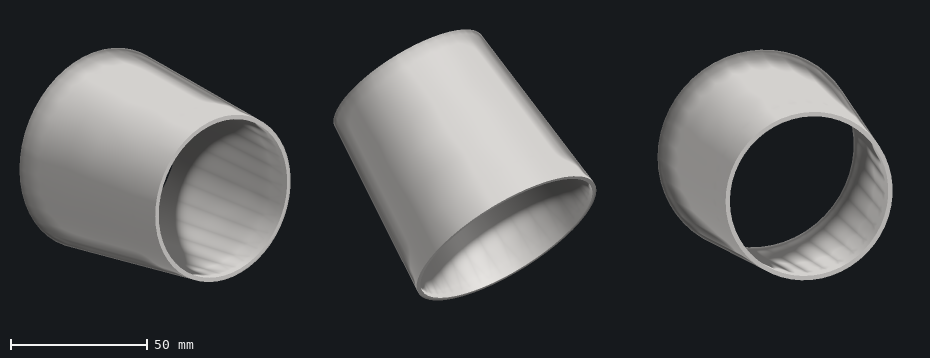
import cadquery as cq

length = 72.0
large_outer_diameter = 76.2
small_outer_diameter = 63.5
wall = 1.65

large_outer_radius = large_outer_diameter / 2
small_outer_radius = small_outer_diameter / 2
large_inner_radius = large_outer_radius - wall
small_inner_radius = small_outer_radius - wall


def tapered_tube():
    """Revolve the sloping wall section about X, with the large end at -X."""
    half_length = length / 2
    wall_section = [
        (-half_length, -large_inner_radius),
        (-half_length, -large_outer_radius),
        (half_length, -small_outer_radius),
        (half_length, -small_inner_radius),
    ]
    return (
        cq.Workplane("XY")
        .polyline(wall_section)
        .close()
        .revolve(360, (0, 0, 0), (1, 0, 0))
    )


result = tapered_tube()